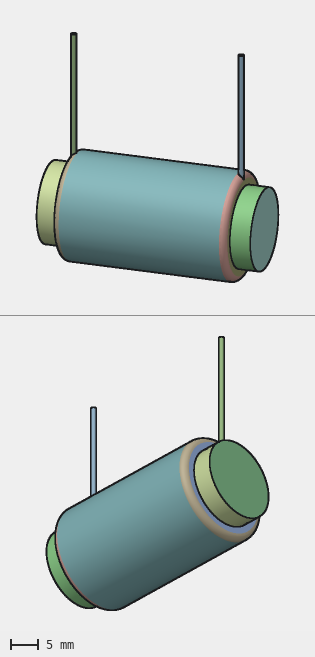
import cadquery as cq

core_length = 41.15
core_diameter = 15.5
winding_length = 33.3
winding_diameter = 20.58
winding_edge_radius = 1.22
lead_diameter = 1.05
overall_height = 43.7

winding_radius = winding_diameter / 2
lead_top = overall_height - winding_radius
lead_start = winding_radius / 2
lead_offset = (winding_length - lead_diameter) / 2


def cylinder_along_x(length, diameter):
    """Cylinder on the X axis, centred on the origin."""
    return cq.Workplane("YZ", origin=(-length / 2, 0, 0)).circle(diameter / 2).extrude(length)


def lead(x):
    """Vertical wire rising from inside the winding."""
    base = cq.Workplane("XY", origin=(x, 0, lead_start))
    return base.circle(lead_diameter / 2).extrude(lead_top - lead_start)


core = cylinder_along_x(core_length, core_diameter)
winding = cylinder_along_x(winding_length, winding_diameter)
winding = winding.edges("%CIRCLE").fillet(winding_edge_radius)

result = core.union(winding)
for side in (-1, 1):
    result = result.union(lead(side * lead_offset))